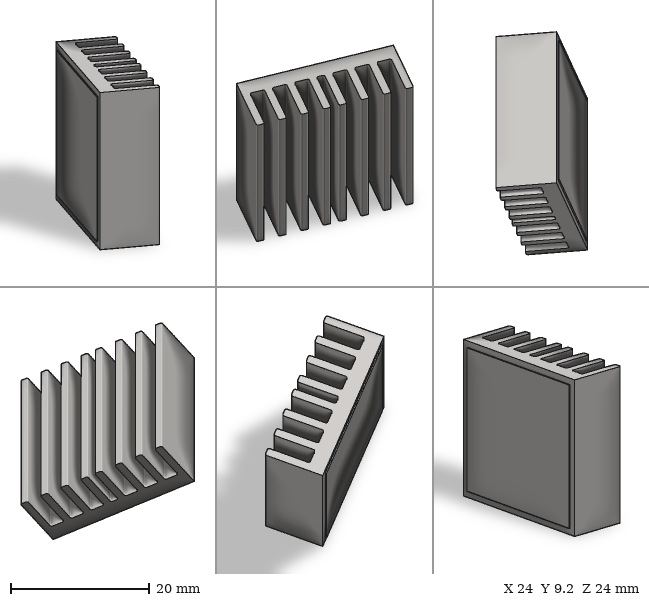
import cadquery as cq

sink_width = 24.0
sink_height = 24.0
sink_depth = 9.0
base_thickness = 2.5
fin_depth = sink_depth - base_thickness

fins_per_side = 4
fin_thickness = 1.2
middle_gap = 1.2
group_width = (sink_width - middle_gap) / 2
side_gap = (group_width - fins_per_side * fin_thickness) / (fins_per_side - 1)
fin_pitch = fin_thickness + side_gap
first_fin_x = (middle_gap + fin_thickness) / 2

tip_radius = 0.3
root_radius = 0.3

pad_border = 1.0
pad_thickness = 0.2


def channel_layout():
    """X centre and width of every channel between neighbouring fins."""
    channels = [(0.0, middle_gap)]
    for index in range(fins_per_side - 1):
        center = first_fin_x + (index + 0.5) * fin_pitch
        channels.append((center, side_gap))
        channels.append((-center, side_gap))
    return channels


def make_channel(center_x, width):
    """Cutter for one full-height channel with rounded root corners."""
    return (
        cq.Workplane("XY")
        .box(width, fin_depth, sink_height, centered=(True, False, True))
        .edges("|Z and <Y")
        .fillet(root_radius)
        .translate((center_x, base_thickness, 0))
    )


def make_heat_sink():
    """Base plate and fins, with its flat face on Y = 0."""
    sink = cq.Workplane("XY").box(
        sink_width, sink_depth, sink_height, centered=(True, False, True)
    )
    for center_x, width in channel_layout():
        sink = sink.cut(make_channel(center_x, width))
    rounded = sink.faces(">Y").edges("|Z").fillet(tip_radius)
    return rounded.solids()


def make_thermal_pad():
    """Thin sheet lying against the flat face of the heat sink."""
    pad_width = sink_width - 2 * pad_border
    pad_height = sink_height - 2 * pad_border
    pad = cq.Workplane("XY").box(
        pad_width, pad_thickness, pad_height, centered=(True, False, True)
    )
    return pad.translate((0, -pad_thickness, 0))


heat_sink = make_heat_sink()
thermal_pad = make_thermal_pad()

result = cq.Compound.makeCompound([heat_sink.val(), thermal_pad.val()])